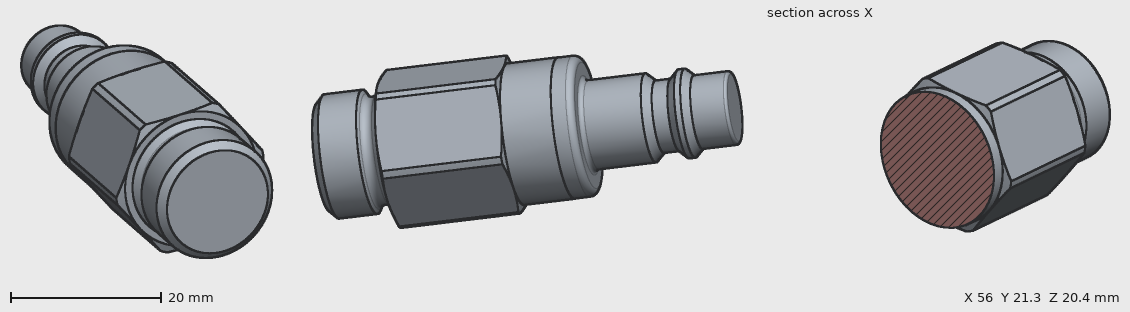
import cadquery as cq
import math

RIDGE_START = 5.0
RIDGE_TOP_START = 6.1
RIDGE_TOP_END = 6.95
GROOVE_START = 8.1
GROOVE_END = 10.25
SHANK_START = 11.5
BODY_START = 19.95
RING_END = 22.95
HEX_START = 29.85
HEX_END = 46.9
NECK_ARC_START = 47.8
LENGTH = 56.0

TIP_DIAMETER = 9.9
RIDGE_DIAMETER = 12.0
GROOVE_DIAMETER = 9.75
SHANK_DIAMETER = RIDGE_DIAMETER
RING_DIAMETER = 18.9
BODY_DIAMETER = 19.0
NECK_DIAMETER = 14.5
THREAD_DIAMETER = 16.7

TIP_FILLET = 0.45
SHANK_FILLET = 0.7
BODY_FILLET = 1.0
THREAD_CHAMFER = 1.05

NECK_ARC_RADIUS = 1.0
NECK_ENTRY_ANGLE = math.radians(45)
NECK_EXIT_ANGLE = math.radians(60)

ACROSS_FLATS = 19.05
ACROSS_CORNERS = 21.4
HEX_ANGLE = 9.6
HEX_CHAMFER = 0.4


def make_turned_body():
    """Solid of revolution about X: plug, body, neck and threaded end."""
    quarter = math.sqrt(0.5)
    shank_radius = SHANK_DIAMETER / 2
    ring_radius = RING_DIAMETER / 2
    root_x = BODY_START - SHANK_FILLET
    root_radius = shank_radius + SHANK_FILLET
    edge_x = BODY_START + BODY_FILLET
    edge_radius = ring_radius - BODY_FILLET
    tip_radius = TIP_DIAMETER / 2
    thread_radius = THREAD_DIAMETER / 2

    neck_radius = NECK_DIAMETER / 2
    neck_x = NECK_ARC_START + NECK_ARC_RADIUS * math.sin(NECK_ENTRY_ANGLE)
    entry_radius = neck_radius + NECK_ARC_RADIUS * (1 - math.cos(NECK_ENTRY_ANGLE))
    collar_radius = entry_radius + (NECK_ARC_START - HEX_END) * math.tan(NECK_ENTRY_ANGLE)
    exit_x = neck_x + NECK_ARC_RADIUS * math.sin(NECK_EXIT_ANGLE)
    exit_radius = neck_radius + NECK_ARC_RADIUS * (1 - math.cos(NECK_EXIT_ANGLE))
    thread_start = exit_x + (thread_radius - exit_radius) / math.tan(NECK_EXIT_ANGLE)

    profile = (
        cq.Workplane("XY")
        .moveTo(0, 0)
        .lineTo(0, tip_radius - TIP_FILLET)
        .threePointArc(
            (TIP_FILLET * (1 - quarter), tip_radius - TIP_FILLET * (1 - quarter)),
            (TIP_FILLET, tip_radius),
        )
        .lineTo(RIDGE_START, tip_radius)
        .lineTo(RIDGE_TOP_START, RIDGE_DIAMETER / 2)
        .lineTo(RIDGE_TOP_END, RIDGE_DIAMETER / 2)
        .lineTo(GROOVE_START, GROOVE_DIAMETER / 2)
        .lineTo(GROOVE_END, GROOVE_DIAMETER / 2)
        .lineTo(SHANK_START, shank_radius)
        .lineTo(root_x, shank_radius)
        .threePointArc(
            (root_x + SHANK_FILLET * quarter, root_radius - SHANK_FILLET * quarter),
            (BODY_START, root_radius),
        )
        .lineTo(BODY_START, edge_radius)
        .threePointArc(
            (edge_x - BODY_FILLET * quarter, edge_radius + BODY_FILLET * quarter),
            (edge_x, ring_radius),
        )
        .lineTo(RING_END, ring_radius)
        .lineTo(RING_END, BODY_DIAMETER / 2)
        .lineTo(HEX_END, BODY_DIAMETER / 2)
        .lineTo(HEX_END, collar_radius)
        .lineTo(NECK_ARC_START, entry_radius)
        .threePointArc((neck_x, neck_radius), (exit_x, exit_radius))
        .lineTo(thread_start, thread_radius)
        .lineTo(LENGTH - THREAD_CHAMFER, thread_radius)
        .lineTo(LENGTH, thread_radius - THREAD_CHAMFER)
        .lineTo(LENGTH, 0)
        .close()
    )
    return profile.revolve(360, (0, 0, 0), (1, 0, 0))


def make_hexagon():
    """Hexagonal prism with rounded-off corners and conical end chamfers."""
    prism = (
        cq.Workplane("YZ", origin=(HEX_START, 0, 0))
        .polygon(6, ACROSS_FLATS / math.cos(math.pi / 6))
        .extrude(HEX_END - HEX_START)
        .rotate((0, 0, 0), (1, 0, 0), HEX_ANGLE)
    )
    flat_radius = ACROSS_FLATS / 2
    corner_radius = ACROSS_CORNERS / 2
    envelope = (
        cq.Workplane("XY")
        .moveTo(HEX_START, 0)
        .lineTo(HEX_START, flat_radius)
        .lineTo(HEX_START + HEX_CHAMFER, corner_radius)
        .lineTo(HEX_END - HEX_CHAMFER, corner_radius)
        .lineTo(HEX_END, flat_radius)
        .lineTo(HEX_END, 0)
        .close()
        .revolve(360, (0, 0, 0), (1, 0, 0))
    )
    return prism.intersect(envelope)


result = make_turned_body().union(make_hexagon())